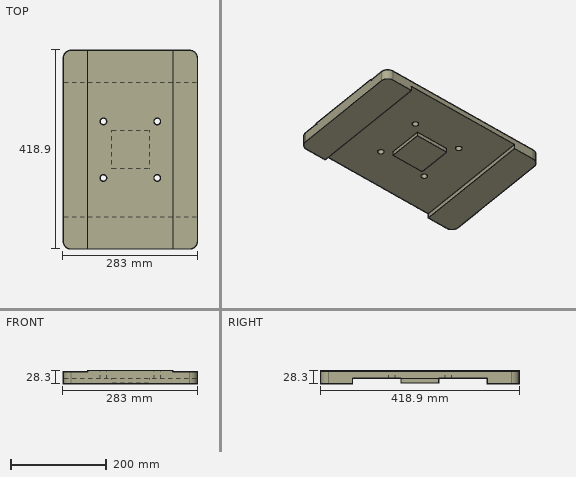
import cadquery as cq

width = 283.04
length = 418.9
height = 28.3
corner_radius = 17.0

band_width = 179.5
band_rise = 2.3

foot_length = 68.0
recess_depth = 11.7

pad_side = 80.0
pad_foot_clearance = 1.5

hole_diameter = 13.5
hole_pitch_x = 113.3
hole_pitch_y = 119.0

shoulder_height = height - band_rise
recess_length = length - 2 * foot_length


def centred_box(size_x, size_y, bottom, top):
    """Box centred on the Z axis between two heights."""
    return cq.Workplane("XY").workplane(offset=bottom).rect(size_x, size_y).extrude(top - bottom)


def make_plate():
    """Round-cornered plate with the raised band on top."""
    slab = centred_box(width, length, 0, shoulder_height).edges("|Z").fillet(corner_radius)
    band = centred_box(band_width, length, recess_depth, height)
    return slab.union(band)


def make_recess():
    """Channel across the underside between the two feet."""
    return centred_box(width, recess_length, 0, recess_depth)


def make_pad():
    """Pad hanging from the roof of the recess."""
    return centred_box(pad_side, pad_side, pad_foot_clearance, recess_depth)


def make_holes():
    """Four holes through the full height."""
    return (
        cq.Workplane("XY")
        .rect(hole_pitch_x, hole_pitch_y, forConstruction=True)
        .vertices()
        .circle(hole_diameter / 2)
        .extrude(height)
    )


result = make_plate().cut(make_recess()).union(make_pad()).cut(make_holes())